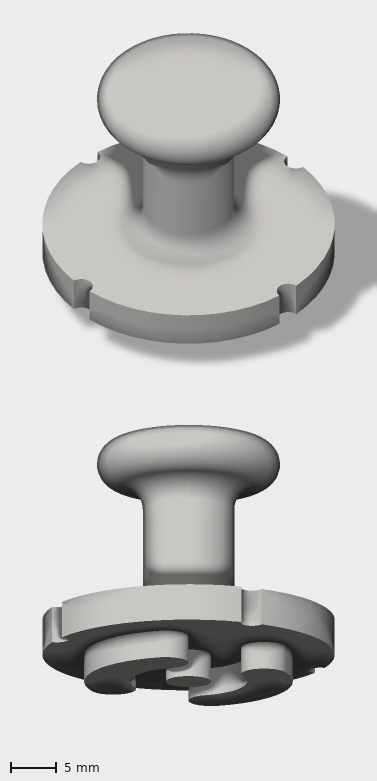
import cadquery as cq
import math

overall_width = 31.9
notch_radius = 1.25
notch_count = 4
flange_thickness = 4.0
stem_radius = 5.0
stem_length = 15.0
knob_height = 5.0
foot_height = 3.0
pin_radius = 2.5
foot_outer_radius = 11.42
foot_width = 5.0
foot_half_angle = 48.0

flange_radius = math.hypot(overall_width / 2, notch_radius)
round_radius = knob_height / 2
blend_radius = stem_radius + round_radius
knob_bottom = flange_thickness + stem_length
knob_top = knob_bottom + knob_height


def make_flange():
    """Disc with semicircular notches spaced evenly around its edge."""
    flange = cq.Workplane("XY").circle(flange_radius).extrude(flange_thickness)
    notches = (
        cq.Workplane("XY")
        .polarArray(flange_radius, 0, 360, notch_count)
        .circle(notch_radius)
        .extrude(flange_thickness)
    )
    return flange.cut(notches)


def make_handle():
    """Revolved stem and knob, blended by concave quarter rounds."""
    corner = round_radius * math.sqrt(0.5)
    profile = (
        cq.Workplane("XZ")
        .lineTo(blend_radius, 0)
        .lineTo(blend_radius, flange_thickness)
        .threePointArc(
            (blend_radius - corner, flange_thickness + round_radius - corner),
            (stem_radius, flange_thickness + round_radius),
        )
        .lineTo(stem_radius, knob_bottom - round_radius)
        .threePointArc(
            (blend_radius - corner, knob_bottom - round_radius + corner),
            (blend_radius, knob_bottom),
        )
        .threePointArc(
            (blend_radius + round_radius, knob_bottom + round_radius),
            (blend_radius, knob_top),
        )
        .lineTo(0, knob_top)
        .close()
    )
    return profile.revolve(360, (0, 0), (0, 1))


def polar_point(radius, degrees):
    angle = math.radians(degrees)
    return (radius * math.cos(angle), radius * math.sin(angle))


def make_curved_foot(direction):
    """Round-ended arc foot under the flange, centred on the given angle."""
    inner_radius = foot_outer_radius - foot_width
    middle_radius = foot_outer_radius - foot_width / 2
    start = direction - foot_half_angle
    end = direction + foot_half_angle
    cap_reach = math.hypot(middle_radius, foot_width / 2)
    cap_angle = math.degrees(math.atan2(foot_width / 2, middle_radius))
    return (
        cq.Workplane("XY")
        .moveTo(*polar_point(foot_outer_radius, start))
        .threePointArc(polar_point(foot_outer_radius, direction), polar_point(foot_outer_radius, end))
        .threePointArc(polar_point(cap_reach, end + cap_angle), polar_point(inner_radius, end))
        .threePointArc(polar_point(inner_radius, direction), polar_point(inner_radius, start))
        .threePointArc(polar_point(cap_reach, start - cap_angle), polar_point(foot_outer_radius, start))
        .close()
        .extrude(-foot_height)
    )


def make_centre_pin():
    """Round pin on the axis, level with the feet."""
    return cq.Workplane("XY").circle(pin_radius).extrude(-foot_height)


result = make_flange().union(make_handle()).union(make_centre_pin())
for foot_direction in (0, 180):
    result = result.union(make_curved_foot(foot_direction))